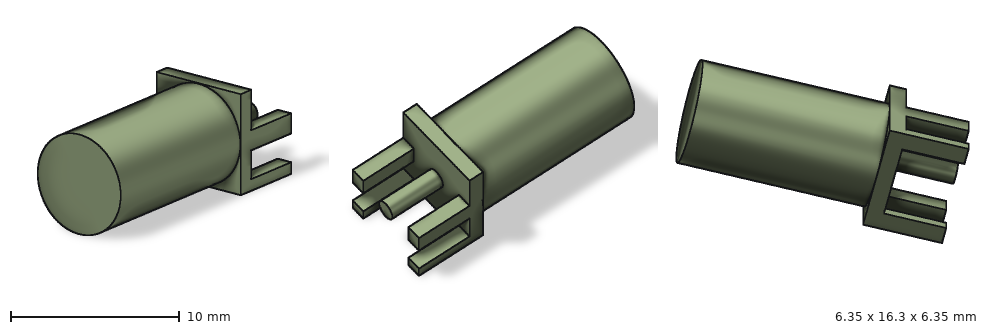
import cadquery as cq

flange_side = 6.35
flange_thickness = 1.02
barrel_diameter = 6.27
barrel_length = 11.43
leg_length = 3.81

leg_width = 1.02
middle_leg_height = 1.27
bottom_leg_height = 0.74
pin_diameter = 1.27

flange_front = -flange_thickness


def make_flange():
    """Square plate centred on the barrel axis."""
    flange = cq.Workplane("XY").box(flange_side, flange_thickness, flange_side)
    return flange.translate((0, -flange_thickness / 2, 0))


def make_cylinder(diameter, start_y, end_y):
    """Round bar on the Y axis between two Y positions."""
    section = cq.Workplane("XZ", origin=(0, end_y, 0)).circle(diameter / 2)
    return section.extrude(end_y - start_y)


def make_leg(side, height, center_z):
    """Leg behind the flange, flush with its left (-1) or right (+1) edge."""
    center_x = side * (flange_side - leg_width) / 2
    leg = cq.Workplane("XY").box(leg_width, leg_length, height)
    return leg.translate((center_x, leg_length / 2, center_z))


barrel = make_cylinder(barrel_diameter, flange_front - barrel_length, flange_front)
pin = make_cylinder(pin_diameter, 0, leg_length)
result = make_flange().union(barrel).union(pin)

bottom_leg_z = (bottom_leg_height - flange_side) / 2
for side in (-1, 1):
    result = result.union(make_leg(side, middle_leg_height, 0))
    result = result.union(make_leg(side, bottom_leg_height, bottom_leg_z))